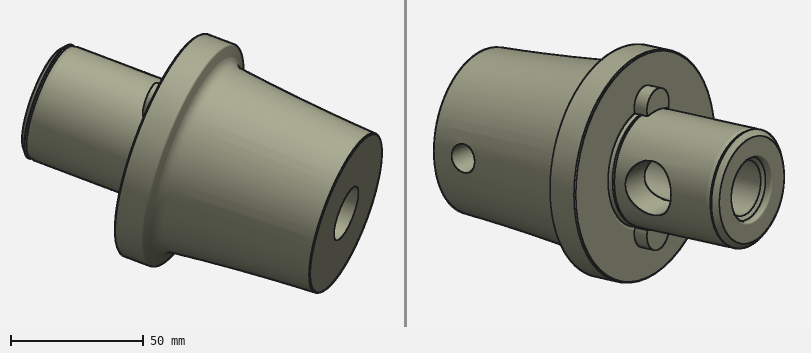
import cadquery as cq
import math


total_length = 126.0
flange_front = 50.0
flange_back = 62.0

shank_radius = 23.0
tip_radius = 20.8
tip_chamfer_length = 2.0
relief_radius = 22.7
tip_groove_start = 2.3
tip_groove_bottom_start = 2.9
tip_groove_bottom_end = 3.3
tip_groove_end = 4.5
undercut_start = 47.6
undercut_bottom_start = 48.8
undercut_fillet = 0.8
face_recess_radius = 24.6
face_recess_angle = 15.0

flange_radius = 45.0
flange_chamfer = 0.5
flange_round = 0.9
flange_back_angle = 15.0

nose_start_radius = 37.7
nose_middle_radius = 34.4
nose_end_radius = 32.3
nose_root_fillet = 4.0
nose_end_chamfer = 0.4

bore_radius = 10.8
counterbore_radius = 12.5
counterbore_depth = 2.8
counterbore_cone_length = 1.0
bore_mouth_round = 1.0

shank_hole_radius = 10.7
shank_hole_x = 31.8
nose_hole_radius = 5.7
nose_hole_x = 111.3

key_count = 2
key_radius = 7.0
key_center_radius = 25.0
key_inner_radius = 23.5
key_length = 5.9

selection_margin = 0.06


def polar_rise(run, angle):
    """Offset reached after a run at the given angle in degrees."""
    return run * math.tan(math.radians(angle))


def edge_at(x, radius):
    """Selector for the circular edges at X that are no larger than the radius."""
    reach = radius + selection_margin
    return cq.selectors.BoxSelector(
        (x - selection_margin, -reach, -reach),
        (x + selection_margin, reach, reach),
        boundingbox=True,
    )


def turned_body():
    """Shank, flange and nose as one turned solid."""
    fillet_end_x = flange_front + polar_rise(
        face_recess_radius - relief_radius - undercut_fillet, face_recess_angle
    )
    fillet_middle = undercut_fillet * (1 - math.cos(math.pi / 4))
    nose_root_x = flange_back + polar_rise(flange_radius - nose_start_radius, flange_back_angle)
    nose_middle_x = (nose_root_x + total_length) / 2

    profile = (
        cq.Workplane("XY")
        .moveTo(0, 0)
        .lineTo(0, tip_radius)
        .lineTo(tip_chamfer_length, shank_radius)
        .lineTo(tip_groove_start, shank_radius)
        .lineTo(tip_groove_bottom_start, relief_radius)
        .lineTo(tip_groove_bottom_end, relief_radius)
        .lineTo(tip_groove_end, shank_radius)
        .lineTo(undercut_start, shank_radius)
        .lineTo(undercut_bottom_start, relief_radius)
        .lineTo(fillet_end_x - undercut_fillet, relief_radius)
        .threePointArc(
            (fillet_end_x - fillet_middle, relief_radius + fillet_middle),
            (fillet_end_x, relief_radius + undercut_fillet),
        )
        .lineTo(flange_front, face_recess_radius)
        .lineTo(flange_front, flange_radius - flange_chamfer)
        .lineTo(flange_front + flange_chamfer, flange_radius)
        .lineTo(flange_back, flange_radius)
        .lineTo(nose_root_x, nose_start_radius)
        .threePointArc((nose_middle_x, nose_middle_radius), (total_length, nose_end_radius))
        .lineTo(total_length, 0)
        .close()
    )
    body = profile.revolve(360, (0, 0, 0), (1, 0, 0))

    body = body.edges(edge_at(nose_root_x, nose_start_radius)).fillet(nose_root_fillet)
    body = body.edges(edge_at(flange_back, flange_radius)).fillet(flange_round)
    return body.edges(edge_at(total_length, nose_end_radius)).chamfer(nose_end_chamfer)


def bore():
    """Through bore with a counterbore whose mouth is rounded."""
    mouth_radius = counterbore_radius + bore_mouth_round
    round_middle = bore_mouth_round * (1 - math.cos(math.pi / 4))
    cone_end = counterbore_depth + counterbore_cone_length
    return (
        cq.Workplane("XY")
        .moveTo(0, 0)
        .lineTo(0, mouth_radius)
        .threePointArc(
            (round_middle, counterbore_radius + round_middle),
            (bore_mouth_round, counterbore_radius),
        )
        .lineTo(counterbore_depth, counterbore_radius)
        .lineTo(cone_end, bore_radius)
        .lineTo(total_length, bore_radius)
        .lineTo(total_length, 0)
        .close()
        .revolve(360, (0, 0, 0), (1, 0, 0))
    )


def radial_hole(x, radius):
    """Hole from the axis out through the +Y side."""
    return cq.Workplane("XZ", origin=(x, 0, 0)).circle(radius).extrude(-flange_radius)


def make_holder():
    return (
        turned_body()
        .cut(bore())
        .cut(radial_hole(shank_hole_x, shank_hole_radius))
        .cut(radial_hole(nose_hole_x, nose_hole_radius))
    )


def make_key(angle):
    """Round drive key against the flange, hollowed to clear the shank."""
    key_plane = cq.Workplane("YZ", origin=(flange_front - key_length, 0, 0))
    pin = key_plane.center(0, key_center_radius).circle(key_radius).extrude(key_length)
    clearance = key_plane.circle(key_inner_radius).extrude(key_length)
    return pin.cut(clearance).rotate((0, 0, 0), (1, 0, 0), angle)


holder = make_holder()
keys = [make_key(i * 360 / key_count) for i in range(key_count)]

result = cq.Compound.makeCompound([holder.val(), *[key.val() for key in keys]])